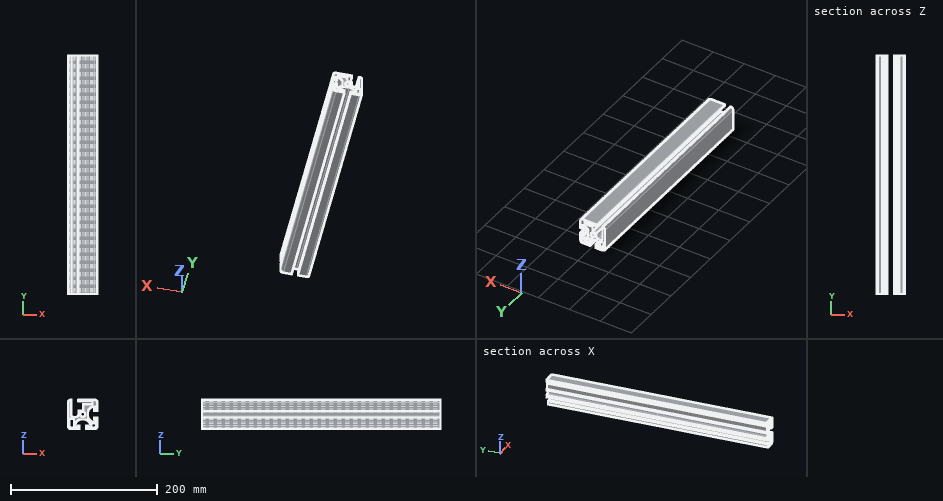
import cadquery as cq

side = 40.0
length = 325.0
half = side / 2
corner_radius = 4.0

bore_diameter = 6.8

slot_opening = 8.5
slot_lip = 4.8
slot_lip_end = 7.4
slot_back = 7.2
slot_floor = 18.0
slot_half_width = 10.4
slot_back_radius = 8.2
undercut_radius = 4.8 / 2

channel_left = -15.6
channel_right = -6.1
channel_floor = -3.4
channel_floor_radius = 4.8 / 2
core_step_height = 5.4
core_shoulder_x = 0.6
core_shoulder_height = 14.0

flange_thickness = 2.8
flange_left = -6.3
flange_edge_radius = 1.2
slit_right = 13.2

chamber_wall = 2.0
chamber_width = 5.8
left_chamber_height = 11.8
chamber_corner_radius = 1.5


def section():
    """Workplane on the cross-section, X across and Z up."""
    return cq.Workplane("XZ")


def extrude(sketch):
    """Extrude a closed section over the whole length, centred on Y = 0."""
    return sketch.extrude(length / 2, both=True)


def bar(x_min, z_min, x_max, z_max):
    """Full-length rectangular bar between two corners of the section."""
    centre_x = (x_min + x_max) / 2
    centre_z = (z_min + z_max) / 2
    return extrude(section().center(centre_x, centre_z).rect(x_max - x_min, z_max - z_min))


def t_slot():
    """T-slot opening toward -Z, with a rounded back and an undercut behind each lip."""
    mouth = slot_opening / 2
    lip_face = -half + slot_lip
    half_slot = (
        section()
        .moveTo(0, -half)
        .lineTo(-mouth, -half)
        .lineTo(-mouth, lip_face)
        .lineTo(-slot_lip_end, lip_face)
        .lineTo(-slot_lip_end, -slot_floor)
        .lineTo(-slot_half_width + undercut_radius, -slot_floor)
        .radiusArc((-slot_half_width, -slot_floor + undercut_radius), undercut_radius)
        .lineTo(-slot_half_width, -slot_back - slot_back_radius)
        .radiusArc((-slot_half_width + slot_back_radius, -slot_back), slot_back_radius)
        .lineTo(0, -slot_back)
        .close()
    )
    left = extrude(half_slot)
    return left.union(left.mirror("YZ")).clean()


def channel():
    """Open channel, the space over the core step, and the slit under the flange."""
    flange_bottom = half - flange_thickness
    groove = bar(channel_left, channel_floor, channel_right, core_step_height)
    groove = groove.edges("|Y and <Z").fillet(channel_floor_radius)
    mouth = bar(channel_left, core_step_height, flange_left, half)
    step = bar(channel_left, core_step_height, core_shoulder_x, flange_bottom)
    slit = bar(core_shoulder_x, core_shoulder_height, slit_right, flange_bottom)
    return groove.union(mouth).union(step).union(slit)


def round_flange_edge(body):
    """Round both long edges at the free end of the cover flange."""
    reach = flange_edge_radius
    flange_end = cq.selectors.BoxSelector(
        (flange_left - reach, -length, half - flange_thickness - reach),
        (flange_left + reach, length, half + reach),
    )
    return body.edges("|Y").edges(flange_end).fillet(flange_edge_radius)


def chambers():
    """Hollow chambers, rounded only at the corner nearest the outside of the bar."""
    inner = half - chamber_wall
    left = bar(-inner, -inner, -inner + chamber_width, -inner + left_chamber_height)
    left = left.edges("|Y and <X and <Z").fillet(chamber_corner_radius)
    right = bar(inner - chamber_width, -inner, inner, -inner + chamber_width)
    right = right.edges("|Y and >X and <Z").fillet(chamber_corner_radius)
    return left.union(right)


bottom_slot = t_slot()
side_slot = bottom_slot.rotate((0, 0, 0), (0, 1, 0), -90)
bore = extrude(section().circle(bore_diameter / 2))

result = bar(-half, -half, half, half).edges("|Y").fillet(corner_radius)
for void in (bottom_slot, side_slot, channel(), chambers(), bore):
    result = result.cut(void)
result = round_flange_edge(result)